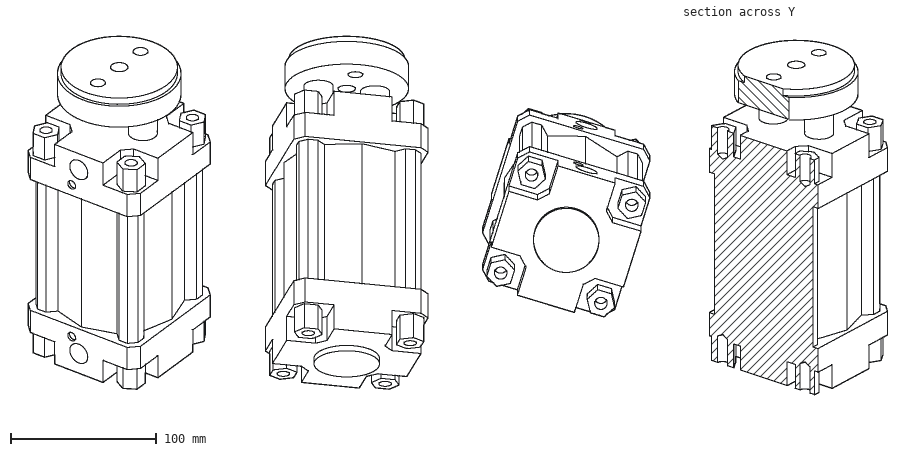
import cadquery as cq
import math

PILOT_HEIGHT = 4
CAP_HEIGHT = 36
TUBE_LENGTH = 106
ROD_EXPOSED = 24
DISC_HEIGHT = 17
LIP_HEIGHT = 5

CAP_BOTTOM = PILOT_HEIGHT
TUBE_BOTTOM = CAP_BOTTOM + CAP_HEIGHT
TUBE_TOP = TUBE_BOTTOM + TUBE_LENGTH
CAP_TOP = TUBE_TOP + CAP_HEIGHT
DISC_BOTTOM = CAP_TOP + ROD_EXPOSED

CAP_WIDTH = 95
CAP_CHAMFER = 6.5
PILOT_DIAMETER = 45
CROSS_WIDTH = 41
POCKET_DEPTH = 18
POCKET_CHAMFER = 6.5

NUT_OFFSET = 36
NUT_FLATS = 17
NUT_CORNERS = NUT_FLATS / math.cos(math.radians(30))
NUT_HOLE_DIAMETER = 8.5
NUT_HOLE_DEPTH = 20
DRILL_POINT_ANGLE = 120

PORT_DIAMETER = 15.2
PORT_DEPTH = 20
TOP_PORT_Z = CAP_TOP - 13
BOTTOM_PORT_Z = CAP_BOTTOM + 16
SCREW_DIAMETER = 6.5
SCREW_DEPTH = 2
SCREW_X = -6
SCREW_INSET = 8.5

RIDGE_REACH = 44.5
POST_REACH = 43.2
POST_CHAMFER = 5.2
POST_INNER = 31
POST_STEP = 6

ROD_DIAMETER = 20
ROD_OFFSET = 20
DISC_DIAMETER = 85
LIP_DIAMETER = 80
CENTRE_HOLE_DIAMETER = 11.84
SIDE_HOLE_DIAMETER = 10.11
SIDE_HOLE_OFFSET = 25

CORNERS = [(sx, sy) for sx in (-1, 1) for sy in (-1, 1)]


def corner_pocket(sx, sy):
    """Square corner recess with its inner corner bevelled, starting at Z = 0."""
    inner = CROSS_WIDTH / 2
    bevel = inner + POCKET_CHAMFER
    outer = CAP_WIDTH / 2
    points = [(bevel, inner), (outer, inner), (outer, outer), (inner, outer), (inner, bevel)]
    outline = [(sx * x, sy * y) for x, y in points]
    return cq.Workplane("XY").polyline(outline).close().extrude(POCKET_DEPTH)


def nut(sx, sy):
    """Hexagonal nut standing in one pocket; neighbouring nuts are turned by 90 degrees."""
    turn = 0 if sx == sy else 90
    hexagon = cq.Workplane("XY").polygon(6, NUT_CORNERS).extrude(POCKET_DEPTH)
    return hexagon.rotate((0, 0, 0), (0, 0, 1), turn).translate((sx * NUT_OFFSET, sy * NUT_OFFSET, 0))


def nut_hole(sx, sy):
    """Blind hole with a drill point, bored down from the cap face at Z = CAP_HEIGHT."""
    radius = NUT_HOLE_DIAMETER / 2
    point_height = radius / math.tan(math.radians(DRILL_POINT_ANGLE / 2))
    floor = CAP_HEIGHT - NUT_HOLE_DEPTH
    half_section = [(0, floor - point_height), (radius, floor), (radius, CAP_HEIGHT), (0, CAP_HEIGHT)]
    bore = cq.Workplane("XZ").polyline(half_section).close().revolve(360, (0, 0), (0, 1))
    return bore.translate((sx * NUT_OFFSET, sy * NUT_OFFSET, 0))


def end_cap():
    """Cap with its inner face at Z = 0 and its outer face at Z = CAP_HEIGHT."""
    cap = cq.Workplane("XY").rect(CAP_WIDTH, CAP_WIDTH).extrude(CAP_HEIGHT)
    cap = cap.edges("|Z").chamfer(CAP_CHAMFER)
    pocket_floor = CAP_HEIGHT - POCKET_DEPTH
    for sx, sy in CORNERS:
        cap = cap.cut(corner_pocket(sx, sy).translate((0, 0, pocket_floor)))
        cap = cap.union(nut(sx, sy).translate((0, 0, pocket_floor)))
        cap = cap.cut(nut_hole(sx, sy))
    return cap


def tube():
    """Tube profile, one side repeated by quarter turns."""
    side = [
        (-POST_REACH + POST_CHAMFER, -POST_REACH),
        (-POST_INNER, -POST_REACH),
        (-POST_INNER + POST_STEP, -POST_REACH + POST_STEP),
        (0, -RIDGE_REACH),
        (POST_INNER - POST_STEP, -POST_REACH + POST_STEP),
        (POST_INNER, -POST_REACH),
        (POST_REACH - POST_CHAMFER, -POST_REACH),
    ]
    outline = []
    for _ in range(4):
        outline += side
        side = [(-y, x) for x, y in side]
    return cq.Workplane("XY", origin=(0, 0, TUBE_BOTTOM)).polyline(outline).close().extrude(TUBE_LENGTH)


def front_hole(x, z, diameter, depth):
    """Flat-bottomed hole bored into the -Y face."""
    face = cq.Workplane("XZ", origin=(x, -CAP_WIDTH / 2, z))
    return face.circle(diameter / 2).extrude(-depth)


def make_housing():
    """Tube, both end caps with their nuts, and the pilot boss underneath."""
    cap = end_cap()
    top_cap = cap.translate((0, 0, TUBE_TOP))
    bottom_cap = cap.mirror("XY").translate((0, 0, TUBE_BOTTOM))
    pilot = cq.Workplane("XY").circle(PILOT_DIAMETER / 2).extrude(PILOT_HEIGHT)
    body = tube().union(top_cap).union(bottom_cap).union(pilot)
    for port_z in (BOTTOM_PORT_Z, TOP_PORT_Z):
        body = body.cut(front_hole(0, port_z, PORT_DIAMETER, PORT_DEPTH))
    for screw_z in (TUBE_BOTTOM - SCREW_INSET, TUBE_TOP + SCREW_INSET):
        body = body.cut(front_hole(SCREW_X, screw_z, SCREW_DIAMETER, SCREW_DEPTH))
    return body.solids()


def make_piston():
    """Stepped disc carried on two rods that rise from the top cap."""
    rods = cq.Workplane("XY", origin=(0, 0, CAP_TOP))
    rods = rods.pushPoints([(-ROD_OFFSET, 0), (ROD_OFFSET, 0)]).circle(ROD_DIAMETER / 2).extrude(ROD_EXPOSED)
    disc = cq.Workplane("XY", origin=(0, 0, DISC_BOTTOM)).circle(DISC_DIAMETER / 2).extrude(DISC_HEIGHT)
    disc = disc.faces(">Z").workplane().circle(LIP_DIAMETER / 2).extrude(LIP_HEIGHT)
    disc = disc.faces(">Z").workplane().hole(CENTRE_HOLE_DIAMETER)
    side_holes = [(0, -SIDE_HOLE_OFFSET), (0, SIDE_HOLE_OFFSET)]
    disc = disc.faces(">Z").workplane().pushPoints(side_holes).hole(SIDE_HOLE_DIAMETER)
    return disc.union(rods).solids()


housing = make_housing()
piston = make_piston()

result = cq.Compound.makeCompound([housing.val(), piston.val()])